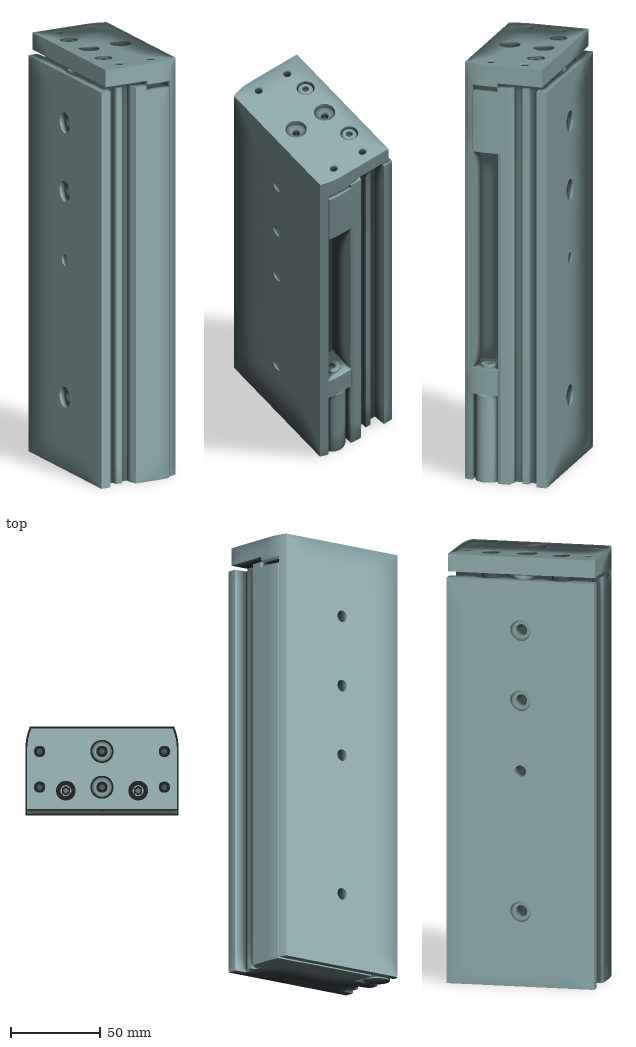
import cadquery as cq
import math

half_width = 42.5
housing_top = 231.6
shoulder_y = 28.9
shoulder_chamfer_rise = 1.7
shoulder_chamfer_width = 0.7
foot_y = 5.9
lower_groove_end_y = 12.0
groove_slope = 0.7
ridge_end_y = 15.5
upper_groove_end_y = 20.5
flank_y = 22.0
groove_depth = 7.3
ridge_inset = 4.2

length = 244.5
depth = 49.0
carriage_bottom = 0.7
back_plate_y = 44.0
curve_start_y = 36.5
back_half_width = 40.0
end_plate_bottom = 234.5
end_plate_front_y = 2.7
neck_front_y = 29.4
neck_bottom = 231.1
neck_chamfer = 1.2

side_gap = 0.5
guide_top = 231.0
block_top = 228.7
pocket_top = 193.2
pocket_floor_x = -25.0

lug_bottom = 51.4
lug_top = 66.3
ramp_rise = 1.5
ramp_length = 2.0
lug_inner_x = pocket_floor_x - 1.0

mount_pitch = 40.0
top_mount_z = 203.0
counterbored_rows = (0, 1, 4)
plain_rows = (2,)
mount_diameter = 6.5
mount_bore_diameter = 12.0
mount_bore_depth = 3.0

tapped_diameter = 4.2
tapped_mouth_diameter = 5.5
tapped_x = 35.0
tapped_rows_y = (15.5, 35.5)
tapped_bottom = 237.3
end_bore_diameter = 12.0
end_bore_depth = 3.2

rod_x = 20.3
rod_y = 13.5
rod_diameter = 10.0
gland_diameter = 20.0
gland_depth = 0.7
rod_bottom = 195.7
shank_diameter = 5.5
head_diameter = 8.5
head_chamfer = 0.7
head_bore_diameter = 10.0
head_seat = 238.7
head_top = 243.9
hex_flats = 3.7
hex_depth = 2.5

bumper_y = 8.5
bumper_diameter = 12.0
bumper_rim_top = 233.3
bumper_top = 234.0
bumper_top_diameter = 8.0

adjuster_x = -35.0
adjuster_y = 36.5
adjuster_diameter = 15.0
barrel_chamfer = 1.0
stud_diameter = 11.0
stud_tip_diameter = 8.5
stud_tip_rise = 1.5
stud_socket_diameter = 4.0
stud_socket_depth = 2.5


def box(x_range, y_range, z_range):
    """Box between two limits along each axis."""
    size = [high - low for low, high in (x_range, y_range, z_range)]
    corner = (x_range[0], y_range[0], z_range[0])
    return cq.Workplane("XY").box(*size, centered=False).translate(corner)


def cylinder(diameter, x, y, bottom, top):
    """Cylinder along Z."""
    return cq.Workplane("XY", origin=(x, y, bottom)).circle(diameter / 2).extrude(top - bottom)


def cone(bottom_diameter, top_diameter, x, y, bottom, top):
    """Truncated cone along Z."""
    base = cq.Vector(x, y, bottom)
    return cq.Workplane(cq.Solid.makeCone(bottom_diameter / 2, top_diameter / 2, top - bottom, base))


def cylinder_y(diameter, z, start_y, end_y):
    """Cylinder along Y on the middle plane of the part."""
    plane = cq.Workplane("XZ", origin=(0, start_y, z))
    return plane.circle(diameter / 2).extrude(start_y - end_y)


def outer_body(front_y, back_y, bottom, top):
    """Full-width block between two Y limits; its sides curve inwards towards the back."""
    rise = depth - curve_start_y
    inset = half_width - back_half_width
    radius = (rise**2 + inset**2) / (2 * inset)
    middle_x = half_width - radius + math.sqrt(radius**2 - (rise / 2) ** 2)
    middle_y = curve_start_y + rise / 2
    outline = (
        cq.Workplane("XY", origin=(0, 0, bottom))
        .moveTo(-half_width, 0)
        .lineTo(half_width, 0)
        .lineTo(half_width, curve_start_y)
        .threePointArc((middle_x, middle_y), (back_half_width, depth))
        .lineTo(-back_half_width, depth)
        .threePointArc((-middle_x, middle_y), (-half_width, curve_start_y))
        .close()
    )
    limits = box((-half_width, half_width), (front_y, back_y), (bottom, top))
    return outline.extrude(top - bottom).intersect(limits)


def grooved_base():
    """Lower part of the housing, with two grooves along each side."""
    right_side = [
        (half_width, 0),
        (half_width, foot_y),
        (half_width - groove_depth, foot_y + groove_slope),
        (half_width - groove_depth, lower_groove_end_y - groove_slope),
        (half_width - ridge_inset, lower_groove_end_y),
        (half_width - ridge_inset, ridge_end_y),
        (half_width - groove_depth, ridge_end_y),
        (half_width - groove_depth, upper_groove_end_y),
        (half_width - ridge_inset, upper_groove_end_y),
        (half_width, flank_y),
        (half_width, shoulder_y),
    ]
    left_side = [(-x, y) for x, y in reversed(right_side)]
    return cq.Workplane("XY").polyline(right_side + left_side).close().extrude(housing_top)


def side_pocket():
    """Space for the lug and the adjuster, with a chamfered shoulder edge below it."""
    pocket = box((-half_width, pocket_floor_x), (shoulder_y, depth), (0, pocket_top))
    corners = [
        (-half_width, shoulder_y - shoulder_chamfer_rise),
        (-half_width, shoulder_y),
        (-half_width + shoulder_chamfer_width, shoulder_y),
    ]
    chamfer = cq.Workplane("XY").polyline(corners).close().extrude(pocket_top)
    return pocket.union(chamfer)


def mounting_holes():
    """Through holes along the middle, some counterbored at the mounting face."""
    holes = cq.Workplane("XY")
    for row in counterbored_rows + plain_rows:
        holes = holes.add(cylinder_y(mount_diameter, top_mount_z - row * mount_pitch, 0, depth))
    for row in counterbored_rows:
        z = top_mount_z - row * mount_pitch
        holes = holes.add(cylinder_y(mount_bore_diameter, z, 0, mount_bore_depth))
    return holes.combine()


def make_housing():
    """Grooved base with the middle guide, the side blocks, the side pocket and the rod bores."""
    guide = box((pocket_floor_x, -pocket_floor_x), (shoulder_y, back_plate_y), (0, guide_top))
    side_blocks = outer_body(shoulder_y, back_plate_y - side_gap, 0, block_top)
    housing = grooved_base().union(side_blocks).union(guide)
    housing = housing.cut(side_pocket()).cut(mounting_holes())
    for side in (-1, 1):
        x = side * rod_x
        gland = cylinder(gland_diameter, x, rod_y, housing_top - gland_depth, housing_top)
        bore = cylinder(rod_diameter, x, rod_y, rod_bottom, housing_top)
        housing = housing.cut(gland).cut(bore)
    return housing


def tapped_hole(x, y, mouth_z):
    """Blind hole in the end plate with a chamfered mouth."""
    mouth_depth = (tapped_mouth_diameter - tapped_diameter) / 2
    mouth = cone(tapped_diameter, tapped_mouth_diameter, x, y, mouth_z - mouth_depth, mouth_z)
    return cylinder(tapped_diameter, x, y, tapped_bottom, mouth_z).union(mouth)


def end_plate():
    """Plate across the end of the housing, with its thicker root and all its holes."""
    plate = outer_body(end_plate_front_y, depth, end_plate_bottom, length)
    neck = outer_body(neck_front_y, back_plate_y, neck_bottom, end_plate_bottom)
    plate = plate.union(neck.faces("<Z").edges("not |X").chamfer(neck_chamfer))
    for y in tapped_rows_y:
        for x in (-tapped_x, tapped_x):
            plate = plate.cut(tapped_hole(x, y, length))
        plate = plate.cut(cylinder(end_bore_diameter, 0, y, length - end_bore_depth, length))
        plate = plate.cut(tapped_hole(0, y, length - end_bore_depth))
    for x in (-rod_x, rod_x):
        plate = plate.cut(cylinder(shank_diameter, x, rod_y, end_plate_bottom, head_seat))
        plate = plate.cut(cylinder(head_bore_diameter, x, rod_y, head_seat, length))
    return plate


def make_lug():
    """Block on the back plate that fills the side pocket and carries the adjuster."""
    lug = outer_body(shoulder_y, back_plate_y, lug_bottom, lug_top)
    lug = lug.intersect(box((-half_width, lug_inner_x), (0, depth), (0, length)))
    corners = [
        (lug_inner_x - ramp_length, lug_top),
        (lug_inner_x, lug_top),
        (lug_inner_x, lug_top + ramp_rise),
    ]
    ramp = cq.Workplane("XZ", origin=(0, shoulder_y, 0)).polyline(corners).close()
    lug = lug.union(ramp.extrude(shoulder_y - back_plate_y))
    return lug.cut(cylinder(stud_diameter, adjuster_x, adjuster_y, lug_bottom, lug_top))


def make_carriage():
    """Back plate, end plate and lug as one sliding body."""
    back_plate = outer_body(back_plate_y, depth, carriage_bottom, length)
    carriage = back_plate.union(end_plate()).union(make_lug())
    return carriage.cut(mounting_holes())


def make_rod(x):
    """Rod with the shank and the socket head that fasten it to the end plate."""
    rod = cylinder(rod_diameter, x, rod_y, rod_bottom, end_plate_bottom)
    rod = rod.union(cylinder(shank_diameter, x, rod_y, end_plate_bottom, head_seat))
    head = cylinder(head_diameter, x, rod_y, head_seat, head_top)
    rod = rod.union(head.faces(">Z").chamfer(head_chamfer))
    socket = cq.Workplane("XY", origin=(x, rod_y, head_top))
    socket = socket.polygon(6, hex_flats, circumscribed=True).extrude(-hex_depth)
    return rod.cut(socket)


def make_bumper():
    """Round pad on the housing with a conical top."""
    rim = cylinder(bumper_diameter, 0, bumper_y, housing_top, bumper_rim_top)
    top = cone(bumper_diameter, bumper_top_diameter, 0, bumper_y, bumper_rim_top, bumper_top)
    return rim.union(top)


def make_adjuster():
    """Barrel below the lug with a stud through it and a narrower tip above."""
    barrel = cylinder(adjuster_diameter, adjuster_x, adjuster_y, 0, lug_bottom)
    barrel = barrel.faces(">Z").chamfer(barrel_chamfer)
    stud = cylinder(stud_diameter, adjuster_x, adjuster_y, lug_bottom, lug_top)
    tip_top = lug_top + stud_tip_rise
    tip = cylinder(stud_tip_diameter, adjuster_x, adjuster_y, lug_top, tip_top)
    socket_bottom = tip_top - stud_socket_depth
    socket = cylinder(stud_socket_diameter, adjuster_x, adjuster_y, socket_bottom, tip_top)
    return barrel.union(stud).union(tip).cut(socket)


housing = make_housing()
carriage = make_carriage()
rods = [make_rod(x) for x in (-rod_x, rod_x)]
bumper = make_bumper()
adjuster = make_adjuster()

result = cq.Compound.makeCompound(
    [housing.val(), carriage.val(), *[rod.val() for rod in rods], bumper.val(), adjuster.val()]
)